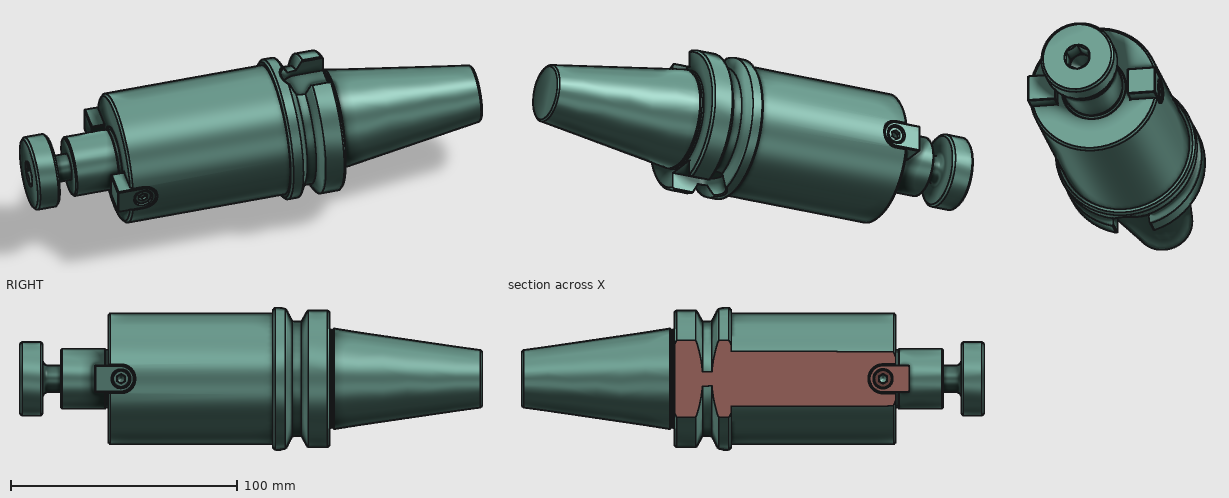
import cadquery as cq
import math


TAPER_LENGTH = 65.5
TAPER_RADIUS = 22.3
TAPER_RATIO = 7 / 24
TAPER_END_RADIUS = TAPER_RADIUS - TAPER_LENGTH * TAPER_RATIO / 2
TAPER_END_CHAMFER = 0.8
RELIEF_RADIUS = 21.7
RELIEF_LENGTH = 2.0
RELIEF_BEVEL = 0.6

FLANGE_RADIUS = 31.5
FLANGE_END = 27.2
FLANGE_CHAMFER = 1.0
EDGE_BREAK = 0.6
GROOVE_RADIUS = 26.5
GROOVE_CENTRE = 16.5
GROOVE_FLOOR_WIDTH = 4.0
GROOVE_FLANK_ANGLE = 30

DRIVE_SLOT_WIDTH = 16.1
DRIVE_SLOT_FLOOR = 22.5
DRIVE_SLOT_END = 23.3

BODY_RADIUS = 29.0
BODY_END = 100.0
BODY_CHAMFER = 1.0
PILOT_RADIUS = 13.3
PILOT_LENGTH = 20.8
PILOT_END = BODY_END + PILOT_LENGTH
PILOT_CHAMFER = 0.6
PILOT_UNDERCUT_RADIUS = 12.9
PILOT_UNDERCUT_LENGTH = 1.5
PILOT_UNDERCUT_DEPTH = 0.5
PILOT_UNDERCUT_OUTER = 14.5
PILOT_UNDERCUT_BEVEL = 0.5

KEY_WIDTH = 11.9
KEY_CHAMFER = 0.5
KEY_OUTER = 28.6
KEY_INNER = 16.1
KEY_PROJECTION = 6.0
KEY_END = BODY_END + KEY_PROJECTION
KEYWAY_WIDTH = 12.9

KEY_SCREW_FROM_FACE = 5.7
KEY_SCREW_Y = -(BODY_END - KEY_SCREW_FROM_FACE)
KEY_SCREW_HEAD_RADIUS = 3.9
KEY_SCREW_HEAD_HEIGHT = 4.0
KEY_SCREW_HEAD_CHAMFER = 0.5
KEY_SCREW_RECESS = 0.6
KEY_SCREW_SHANK_RADIUS = 2.0
KEY_SCREW_GRIP = 6.1
COUNTERBORE_RADIUS = 4.3
COUNTERBORE_DEPTH = KEY_SCREW_RECESS + KEY_SCREW_HEAD_HEIGHT
KEY_SOCKET_FLATS = 3.7
KEY_SOCKET_DEPTH = 2.0

SCREW_SHANK_RADIUS = 6.0
SCREW_SHANK_FILLET = 2.2
SCREW_GRIP = PILOT_LENGTH
SCREW_HEAD_RADIUS = 16.4
SCREW_HEAD_BACK = 128.8
SCREW_HEAD_END = 139.0
SCREW_HEAD_CHAMFER = 1.0
SCREW_SOCKET_FLATS = 10.0
SCREW_SOCKET_DEPTH = 10.2

DRILL_POINT_ANGLE = 118
SOCKET_MOUTH_ANGLE = 90


def turned(points):
    """Solid of revolution about Y from (radius, y) points that start and end on the axis."""
    return cq.Workplane("XY").polyline(points).close().revolve(360, (0, 0, 0), (0, 1, 0))


def cone(radius, full_angle, base_z):
    """Cone on the Z axis that narrows to a point toward -Z."""
    height = radius / math.tan(math.radians(full_angle / 2))
    base = cq.Vector(0, 0, base_z)
    return cq.Workplane(cq.Solid.makeCone(radius, 0, height, base, cq.Vector(0, 0, -1)))


def hex_corner_radius(flats):
    return flats / math.sqrt(3)


def hex_socket(flats, depth):
    """Drill-pointed hexagonal cutter, mouth at Z = 0, sunk toward -Z, with two corners on X."""
    prism = cq.Workplane("XY").polygon(6, 2 * hex_corner_radius(flats)).extrude(-depth)
    point = cone(flats / 2, DRILL_POINT_ANGLE, -depth)
    return prism.union(point)


def key_outline(width):
    """Radial prism with a round back end about the key screw and an open front end."""
    half = width / 2
    return (
        cq.Workplane("YZ")
        .moveTo(-KEY_END, -half)
        .lineTo(KEY_SCREW_Y, -half)
        .threePointArc((KEY_SCREW_Y + half, 0), (KEY_SCREW_Y, half))
        .lineTo(-KEY_END, half)
        .close()
    )


def radial_cylinder(radius, inner, outer):
    """Cylinder along X on the axis of the key screw."""
    return (
        cq.Workplane("YZ", origin=(inner, 0, 0))
        .center(KEY_SCREW_Y, 0)
        .circle(radius)
        .extrude(outer - inner)
    )


def opposite_pair(shape):
    """The shape and its copy turned half a turn about the arbor axis."""
    return [shape.rotate((0, 0, 0), (0, 1, 0), angle) for angle in (0, 180)]


def make_key():
    key = key_outline(KEY_WIDTH).extrude(KEY_OUTER - KEY_INNER).translate((KEY_INNER, 0, 0))
    key = key.edges().chamfer(KEY_CHAMFER)
    key = key.cut(radial_cylinder(KEY_SCREW_SHANK_RADIUS, KEY_INNER, KEY_OUTER))
    return key.cut(radial_cylinder(COUNTERBORE_RADIUS, KEY_OUTER - COUNTERBORE_DEPTH, KEY_OUTER))


def make_key_screw():
    head_top = KEY_OUTER - KEY_SCREW_RECESS
    head_base = head_top - KEY_SCREW_HEAD_HEIGHT
    head = radial_cylinder(KEY_SCREW_HEAD_RADIUS, head_base, head_top)
    head = head.faces(">X").chamfer(KEY_SCREW_HEAD_CHAMFER)
    shank = radial_cylinder(KEY_SCREW_SHANK_RADIUS, KEY_INNER - KEY_SCREW_GRIP, head_base)
    socket = hex_socket(KEY_SOCKET_FLATS, KEY_SOCKET_DEPTH).rotate((0, 0, 0), (0, 1, 0), 90)
    return head.union(shank).cut(socket.translate((head_top, KEY_SCREW_Y, 0)))


def make_arbor_blank():
    groove_start = GROOVE_CENTRE - GROOVE_FLOOR_WIDTH / 2
    groove_end = GROOVE_CENTRE + GROOVE_FLOOR_WIDTH / 2
    lip_flank = (FLANGE_RADIUS - EDGE_BREAK - GROOVE_RADIUS) * math.tan(math.radians(GROOVE_FLANK_ANGLE))
    undercut_end = BODY_END + PILOT_UNDERCUT_LENGTH
    return turned([
        (0, TAPER_LENGTH),
        (TAPER_END_RADIUS - TAPER_END_CHAMFER, TAPER_LENGTH),
        (TAPER_END_RADIUS, TAPER_LENGTH - TAPER_END_CHAMFER),
        (TAPER_RADIUS, 0),
        (RELIEF_RADIUS, -RELIEF_BEVEL),
        (RELIEF_RADIUS, -RELIEF_LENGTH + RELIEF_BEVEL),
        (RELIEF_RADIUS + RELIEF_BEVEL, -RELIEF_LENGTH),
        (FLANGE_RADIUS - FLANGE_CHAMFER, -RELIEF_LENGTH),
        (FLANGE_RADIUS, -RELIEF_LENGTH - FLANGE_CHAMFER),
        (FLANGE_RADIUS, -groove_start + lip_flank + EDGE_BREAK),
        (FLANGE_RADIUS - EDGE_BREAK, -groove_start + lip_flank),
        (GROOVE_RADIUS, -groove_start),
        (GROOVE_RADIUS, -groove_end),
        (FLANGE_RADIUS - EDGE_BREAK, -groove_end - lip_flank),
        (FLANGE_RADIUS, -groove_end - lip_flank - EDGE_BREAK),
        (FLANGE_RADIUS, -FLANGE_END + FLANGE_CHAMFER),
        (FLANGE_RADIUS - FLANGE_CHAMFER, -FLANGE_END),
        (BODY_RADIUS, -FLANGE_END),
        (BODY_RADIUS, -BODY_END + BODY_CHAMFER),
        (BODY_RADIUS - BODY_CHAMFER, -BODY_END),
        (PILOT_UNDERCUT_OUTER, -BODY_END),
        (PILOT_UNDERCUT_OUTER - PILOT_UNDERCUT_BEVEL, -BODY_END + PILOT_UNDERCUT_DEPTH),
        (PILOT_UNDERCUT_RADIUS, -BODY_END + PILOT_UNDERCUT_DEPTH),
        (PILOT_UNDERCUT_RADIUS, -undercut_end + PILOT_UNDERCUT_BEVEL),
        (PILOT_RADIUS, -undercut_end),
        (PILOT_RADIUS, -PILOT_END + PILOT_CHAMFER),
        (PILOT_RADIUS - PILOT_CHAMFER, -PILOT_END),
        (0, -PILOT_END),
    ])


def make_drive_slot():
    half = DRIVE_SLOT_WIDTH / 2
    return (
        cq.Workplane("XY", origin=(0, 0, DRIVE_SLOT_FLOOR))
        .moveTo(-half, 0)
        .lineTo(-half, half - DRIVE_SLOT_END)
        .threePointArc((0, -DRIVE_SLOT_END), (half, half - DRIVE_SLOT_END))
        .lineTo(half, 0)
        .close()
        .extrude(FLANGE_RADIUS - DRIVE_SLOT_FLOOR)
    )


def make_arbor():
    arbor = make_arbor_blank()
    for slot in opposite_pair(make_drive_slot()):
        arbor = arbor.cut(slot)
    arbor = arbor.edges("|Y").edges(">Z or <Z").chamfer(EDGE_BREAK)
    arbor = arbor.edges(">Z or <Z").chamfer(EDGE_BREAK)
    keyway = key_outline(KEYWAY_WIDTH).extrude(BODY_RADIUS - KEY_INNER).translate((KEY_INNER, 0, 0))
    key_screw_hole = radial_cylinder(KEY_SCREW_SHANK_RADIUS, KEY_INNER - KEY_SCREW_GRIP, KEY_INNER)
    for pocket in opposite_pair(keyway.union(key_screw_hole)):
        arbor = arbor.cut(pocket)
    screw_hole = (
        cq.Workplane("XZ", origin=(0, -PILOT_END, 0)).circle(SCREW_SHANK_RADIUS).extrude(-SCREW_GRIP)
    )
    return arbor.cut(screw_hole)


def make_retaining_screw():
    fillet_end = SCREW_SHANK_RADIUS + SCREW_SHANK_FILLET
    fillet_mid = fillet_end - SCREW_SHANK_FILLET * math.sqrt(0.5)
    fillet_mid_y = -SCREW_HEAD_BACK + SCREW_SHANK_FILLET * (1 - math.sqrt(0.5))
    screw = (
        cq.Workplane("XY")
        .moveTo(0, SCREW_GRIP - PILOT_END)
        .lineTo(SCREW_SHANK_RADIUS, SCREW_GRIP - PILOT_END)
        .lineTo(SCREW_SHANK_RADIUS, SCREW_SHANK_FILLET - SCREW_HEAD_BACK)
        .threePointArc((fillet_mid, fillet_mid_y), (fillet_end, -SCREW_HEAD_BACK))
        .lineTo(SCREW_HEAD_RADIUS - SCREW_HEAD_CHAMFER, -SCREW_HEAD_BACK)
        .lineTo(SCREW_HEAD_RADIUS, -SCREW_HEAD_BACK - SCREW_HEAD_CHAMFER)
        .lineTo(SCREW_HEAD_RADIUS, -SCREW_HEAD_END + SCREW_HEAD_CHAMFER)
        .lineTo(SCREW_HEAD_RADIUS - SCREW_HEAD_CHAMFER, -SCREW_HEAD_END)
        .lineTo(0, -SCREW_HEAD_END)
        .close()
        .revolve(360, (0, 0, 0), (0, 1, 0))
    )
    countersink = cone(hex_corner_radius(SCREW_SOCKET_FLATS), SOCKET_MOUTH_ANGLE, 0)
    socket = hex_socket(SCREW_SOCKET_FLATS, SCREW_SOCKET_DEPTH).union(countersink)
    socket = socket.rotate((0, 0, 0), (0, 0, 1), 90).rotate((0, 0, 0), (1, 0, 0), 90)
    return screw.cut(socket.translate((0, -SCREW_HEAD_END, 0)))


arbor = make_arbor()
retaining_screw = make_retaining_screw()
keys = opposite_pair(make_key())
key_screws = opposite_pair(make_key_screw())

result = cq.Compound.makeCompound([
    arbor.val(),
    retaining_screw.val(),
    *[key.val() for key in keys],
    *[screw.val() for screw in key_screws],
])